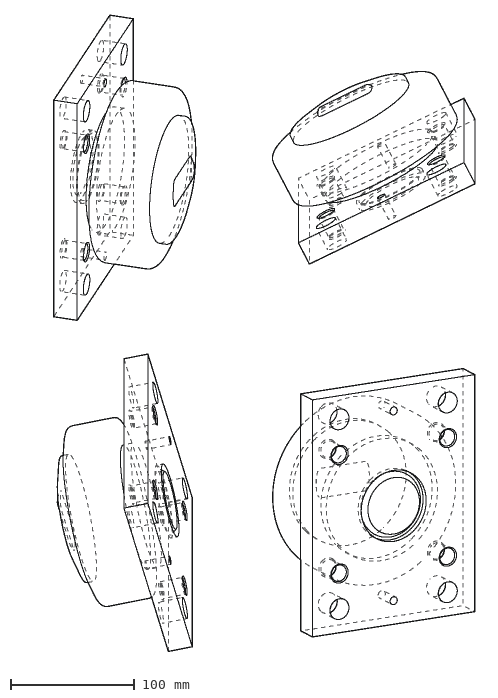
import cadquery as cq

plate_thickness = 20.0
plate_width = 150.0
plate_height = 200.0

hole_offset_y = 50.0
bolt_hole_offset_z = 80.0
bolt_hole_diameter = 17.5
pin_hole_diameter = 6.5
tapped_hole_offset_z = 50.0
tapped_hole_diameter = 13.8
tapped_hole_mouth_diameter = 16.0

recess_radius = 30.0
recess_depth = 5.2
axle_end_base_radius = 27.5
axle_end_tip_radius = 23.8

hub_radius = 51.5

roller_radius = 74.5
roller_back = 28.8
roller_front = 74.2
roller_back_fillet = 3.5
roller_front_fillet = 5.0
roller_face_radius = 61.0

cap_radius = 52.5
cap_shoulder = 80.2
cap_shoulder_fillet = 1.0
cap_front = 85.5
cap_face_radius = 35.0

side_roller_tip = 89.0
side_roller_radius = 23.5
side_roller_length = 49.2
side_roller_fillet = 4.5

cone_run_per_rise = (cap_front - cap_shoulder) / (cap_radius - cap_face_radius)
roller_rim = roller_front - cone_run_per_rise * (roller_radius - roller_face_radius)

edge_pick_margin = 0.2


def turned(profile):
    """Solid of revolution about the X axis from (x, radius) points."""
    return cq.Workplane("XY").polyline(profile).close().revolve(360, (0, 0, 0), (1, 0, 0))


def round_rim(body, x, radius, fillet):
    """Fillet the circular edge at position x with the given radius."""
    reach = radius + edge_pick_margin
    near = (x - edge_pick_margin, -reach, -reach)
    far = (x + edge_pick_margin, reach, reach)
    rim = cq.selectors.BoxSelector(near, far)
    return body.edges(rim).edges("%CIRCLE").fillet(fillet)


def make_plate():
    plate = cq.Workplane("YZ").box(plate_width, plate_height, plate_thickness, (True, True, False))
    face = cq.Workplane("YZ")
    bolt_holes = (
        face.rect(2 * hole_offset_y, 2 * bolt_hole_offset_z, forConstruction=True)
        .vertices().circle(bolt_hole_diameter / 2).extrude(plate_thickness)
    )
    pin_holes = (
        face.pushPoints([(0, -bolt_hole_offset_z), (0, bolt_hole_offset_z)])
        .circle(pin_hole_diameter / 2).extrude(plate_thickness)
    )
    plate = plate.cut(bolt_holes).cut(pin_holes)

    tapped_radius = tapped_hole_diameter / 2
    mouth_radius = tapped_hole_mouth_diameter / 2
    countersink = mouth_radius - tapped_radius
    tapped_hole = turned([
        (0, 0),
        (0, mouth_radius),
        (countersink, tapped_radius),
        (plate_thickness - countersink, tapped_radius),
        (plate_thickness, mouth_radius),
        (plate_thickness, 0),
    ])
    for y in (-hole_offset_y, hole_offset_y):
        for z in (-tapped_hole_offset_z, tapped_hole_offset_z):
            plate = plate.cut(tapped_hole.translate((0, y, z)))
    return plate


def make_recess():
    """Ring-shaped recess that leaves the chamfered axle end standing on its floor."""
    return turned([
        (0, recess_radius),
        (recess_depth, recess_radius),
        (recess_depth, axle_end_base_radius),
        (0, axle_end_tip_radius),
    ])


def make_hub():
    return cq.Workplane("YZ").circle(hub_radius).extrude(roller_front)


def make_main_roller():
    roller = turned([
        (roller_back, 0),
        (roller_back, roller_radius),
        (roller_rim, roller_radius),
        (roller_front, roller_face_radius),
        (roller_front, 0),
    ])
    roller = round_rim(roller, roller_back, roller_radius, roller_back_fillet)
    return round_rim(roller, roller_rim, roller_radius, roller_front_fillet)


def make_cap():
    cap = turned([
        (roller_back, 0),
        (roller_back, cap_radius),
        (cap_shoulder, cap_radius),
        (cap_front, cap_face_radius),
        (cap_front, 0),
    ])
    return round_rim(cap, cap_shoulder, cap_radius, cap_shoulder_fillet)


def make_side_roller():
    return (
        cq.Workplane("XZ")
        .center(side_roller_tip - side_roller_radius, 0)
        .circle(side_roller_radius)
        .extrude(side_roller_length / 2, both=True)
        .edges("%CIRCLE").fillet(side_roller_fillet)
    )


result = (
    make_plate()
    .union(make_hub())
    .union(make_main_roller())
    .union(make_cap())
    .union(make_side_roller())
    .cut(make_recess())
)